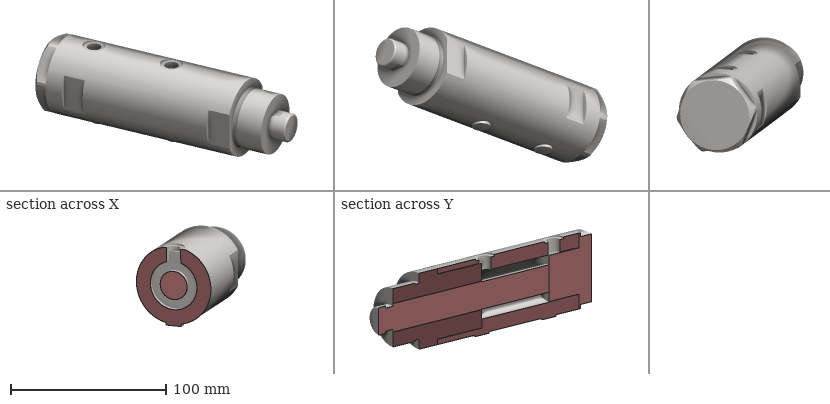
import cadquery as cq
import math


BODY_DIA = 52.0
BODY_RADIUS = BODY_DIA / 2
BORE_DIA = 32.0
GLAND_SPIGOT_DIA = 44.0
ROD_DIA = 19.0
ACROSS_FLATS = 46.0

HEX_LENGTH = 9.0
TUBE_START = 10.6
CAP_SPIGOT_END = 35.0
GLAND_SPIGOT_START = 89.5
TUBE_END = 126.0
SHOULDER_X = 141.0
THREAD_START = 144.7
GLAND_END = 162.2
ROD_END = 174.02

HEX_ANGLE = 8.0
HEX_END_DIA = 45.7
HEX_CHAMFER_LENGTH = 2.7

WRENCH_FLAT_START = 21.0
WRENCH_FLAT_LENGTH = 15.0
PORT_XS = (30.7, 86.9)
PORT_DIA = 9.5
SPOTFACE_DIA = 15.0
SPOTFACE_Z = 24.8
BOSS_XS = (35.0, 89.5)
BOSS_DIA = 12.0
BOSS_REACH = 27.1

THREAD_DIA = 40.0
GROOVE_DIA = 38.4
GROOVE_FILLET = 1.0
GROOVE_EXIT_ANGLE = 30.0

ROD_FLAT_LENGTH = 5.6
ROD_ACROSS_FLATS = 16.0
ROD_END_FILLET = 1.2


def cylinder_x(diameter, start, end):
    """Solid cylinder on the X axis between two stations."""
    return cq.Workplane("YZ", origin=(start, 0, 0)).circle(diameter / 2).extrude(end - start)


def side_flats(start, length):
    """Two cutters that leave the body ACROSS_FLATS wide in Y."""
    depth = BODY_RADIUS - ACROSS_FLATS / 2
    middle = (BODY_RADIUS + ACROSS_FLATS / 2) / 2
    return (
        cq.Workplane("XY", origin=(start + length / 2, 0, 0))
        .pushPoints([(0, middle), (0, -middle)])
        .box(length, depth, BODY_DIA)
    )


def make_cap():
    """Hexagon head with rounded-off corners, a flange and a spigot that closes the bore."""
    corner_dia = ACROSS_FLATS / math.cos(math.radians(30))
    hexagon = (
        cq.Workplane("YZ")
        .transformed(rotate=(0, 0, -HEX_ANGLE))
        .polygon(6, corner_dia)
        .extrude(HEX_LENGTH)
    )
    envelope = (
        cq.Workplane("XY")
        .moveTo(0, 0)
        .lineTo(0, HEX_END_DIA / 2)
        .lineTo(HEX_CHAMFER_LENGTH, BODY_RADIUS)
        .lineTo(HEX_LENGTH, BODY_RADIUS)
        .lineTo(HEX_LENGTH, 0)
        .close()
        .revolve(360, (0, 0, 0), (1, 0, 0))
    )
    flange = cylinder_x(BODY_DIA, HEX_LENGTH, TUBE_START)
    spigot = cylinder_x(BORE_DIA, TUBE_START, CAP_SPIGOT_END)
    return hexagon.intersect(envelope).union(flange).union(spigot)


def make_tube():
    """Bored tube with two ports on top, two bosses below and a pair of wrench flats."""
    tube = cylinder_x(BODY_DIA, TUBE_START, TUBE_END)
    for x in BOSS_XS:
        boss = cq.Workplane("XY", origin=(x, 0, -BOSS_REACH)).circle(BOSS_DIA / 2).extrude(BOSS_REACH)
        tube = tube.union(boss)
    tube = tube.cut(cylinder_x(BORE_DIA, TUBE_START, TUBE_END))
    tube = tube.cut(cylinder_x(GLAND_SPIGOT_DIA, GLAND_SPIGOT_START, TUBE_END))
    tube = tube.cut(side_flats(WRENCH_FLAT_START, WRENCH_FLAT_LENGTH))
    for x in PORT_XS:
        port = cq.Workplane("XY", origin=(x, 0, 0)).circle(PORT_DIA / 2).extrude(BODY_RADIUS)
        spotface = cq.Workplane("XY", origin=(x, 0, SPOTFACE_Z)).circle(SPOTFACE_DIA / 2).extrude(BODY_RADIUS)
        tube = tube.cut(port).cut(spotface)
    return tube


def make_gland():
    """Spigot, flatted collar and relieved thread nose, bored for the rod."""
    groove_radius = GROOVE_DIA / 2
    thread_radius = THREAD_DIA / 2
    exit_angle = math.radians(GROOVE_EXIT_ANGLE)
    ramp_radius = groove_radius + GROOVE_FILLET * (1 - math.cos(exit_angle))
    ramp_start = THREAD_START - (thread_radius - ramp_radius) / math.tan(exit_angle)
    floor_end = ramp_start - GROOVE_FILLET * math.sin(exit_angle)
    collar = cylinder_x(BODY_DIA, TUBE_END, SHOULDER_X).cut(side_flats(TUBE_END, SHOULDER_X - TUBE_END))
    nose = (
        cq.Workplane("XY")
        .moveTo(SHOULDER_X, 0)
        .lineTo(SHOULDER_X, groove_radius + GROOVE_FILLET)
        .radiusArc((SHOULDER_X + GROOVE_FILLET, groove_radius), -GROOVE_FILLET)
        .lineTo(floor_end, groove_radius)
        .radiusArc((ramp_start, ramp_radius), -GROOVE_FILLET)
        .lineTo(THREAD_START, thread_radius)
        .lineTo(GLAND_END, thread_radius)
        .lineTo(GLAND_END, 0)
        .close()
        .revolve(360, (0, 0, 0), (1, 0, 0))
    )
    spigot = cylinder_x(GLAND_SPIGOT_DIA, GLAND_SPIGOT_START, TUBE_END)
    rod_bore = cylinder_x(ROD_DIA, GLAND_SPIGOT_START, GLAND_END)
    return collar.union(nose).union(spigot).cut(rod_bore)


def make_rod():
    """Rod from the cap spigot out through the gland, with two flats in front of the gland."""
    rod = cylinder_x(ROD_DIA, CAP_SPIGOT_END, ROD_END).faces(">X").edges().fillet(ROD_END_FILLET)
    flat_depth = (ROD_DIA - ROD_ACROSS_FLATS) / 2
    middle = (ROD_DIA + ROD_ACROSS_FLATS) / 4
    flats = (
        cq.Workplane("XZ", origin=(GLAND_END + ROD_FLAT_LENGTH / 2, 0, 0))
        .pushPoints([(0, middle), (0, -middle)])
        .box(ROD_FLAT_LENGTH, flat_depth, ROD_DIA)
    )
    return rod.cut(flats)


cap = make_cap()
tube = make_tube()
gland = make_gland()
rod = make_rod()

result = cq.Compound.makeCompound([cap.val(), tube.val(), gland.val(), rod.val()])